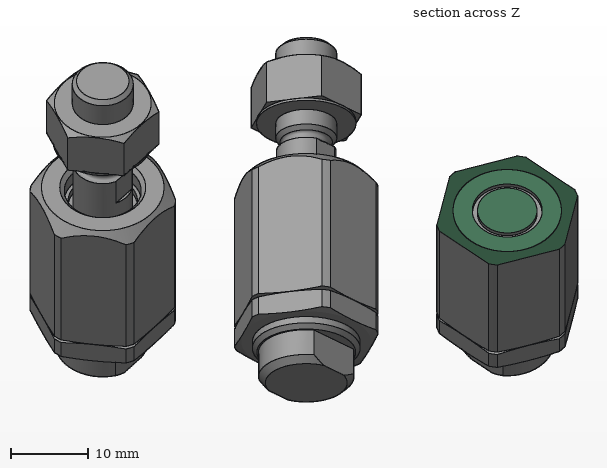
import cadquery as cq
import math


HEX_WIDTH = 17.0
HEX_TURNED_DIA = 19.0
HEX_EDGE_DIA = 16.8
HEX_EDGE_DROP = 0.25
PLUG_THREAD_DIA = 14.0
PLUG_THREAD_CHAMFER = 0.6
PLUG_HEAD_DIA = 12.4
PLUG_HEAD_CHAMFER = 0.9
PLUG_HEAD_WIDTH = 10.0
STUD_THREAD_DIA = 7.95
STUD_TIP_DIA = 6.8
SHAFT_DIA = 7.8
SHAFT_WIDTH = 7.0
NECK_DIA = 6.2
NECK_SHOULDER_FILLET = 0.45
NECK_RUNOUT_FILLET = 0.5
NUT_WIDTH = 12.8
NUT_TOP_DIA = 12.6
NUT_WASHER_DIA = 12.95
NUT_CORNER_DROP = 0.6
HOUSING_TOP_DIA = 15.92
MOUTH_DIA = 10.0
MOUTH_CHAMFER = 0.6
RING_BORE_DIA = 9.0
RING_THICKNESS = 1.0
SEAT_THICKNESS = 1.95

PLUG_HEAD_TOP = 4.5
LOCK_NUT_BOTTOM = 6.05
HOUSING_BOTTOM = 9.05
HOUSING_TOP = 29.5
RING_TOP = 27.0
SHAFT_FLAT_BOTTOM = 30.1
SHAFT_TOP = 34.05
STUD_THREAD_BOTTOM = 35.95
NUT_BOTTOM = 38.1
NUT_HEX_BOTTOM = 38.45
NUT_TOP = 45.0
STUD_TOP = 49.0

RING_BOTTOM = RING_TOP - RING_THICKNESS
SEAT_BOTTOM = RING_BOTTOM - SEAT_THICKNESS
HEX_EDGE_RADIUS = HEX_EDGE_DIA / 2
HEX_TURNED_RADIUS = HEX_TURNED_DIA / 2


def revolve(outline):
    """Turn a closed (radius, height) outline around the vertical axis."""
    return outline.close().revolve(360, (0, 0, 0), (0, 1, 0))


def turned(points):
    """Solid of revolution from (radius, height) points, closed along the axis."""
    bottom = points[0][1]
    top = points[-1][1]
    return revolve(cq.Workplane("XZ").polyline([(0, bottom), *points, (0, top)]))


def cylinder(diameter, bottom, top):
    """Upright cylinder between two heights."""
    return cq.Workplane("XY").workplane(offset=bottom).circle(diameter / 2).extrude(top - bottom)


def hexagon(width, bottom, top):
    """Hexagonal prism with flats facing +X and -X."""
    corner_dia = width / math.cos(math.radians(30))
    prism = cq.Workplane("XY").workplane(offset=bottom).polygon(6, corner_dia).extrude(top - bottom)
    return prism.rotate((0, 0, 0), (0, 0, 1), 30)


def cut_flats(body, width, dia, bottom, top):
    """Mill two flats facing +X and -X into a round of the given diameter, between two heights."""
    slab = cq.Workplane("XY").workplane(offset=bottom).rect(width, 2 * dia).extrude(top - bottom)
    waste = cylinder(2 * dia, bottom, top).cut(slab)
    return body.cut(waste)


def arc_point(center_radius, center_height, radius, angle):
    """Point (radius, height) on an arc, with the angle in degrees from the outward direction."""
    turn = math.radians(angle)
    return (center_radius + radius * math.cos(turn), center_height + radius * math.sin(turn))


def make_stud():
    """Threaded stud with an undercut neck and a shaft with two wrench flats."""
    thread_radius = STUD_THREAD_DIA / 2
    tip_radius = STUD_TIP_DIA / 2
    tip_chamfer = thread_radius - tip_radius
    neck_radius = NECK_DIA / 2
    shoulder_radius = neck_radius + NECK_SHOULDER_FILLET
    neck_bottom = SHAFT_TOP + NECK_SHOULDER_FILLET
    shoulder_middle = arc_point(shoulder_radius, neck_bottom, NECK_SHOULDER_FILLET, 225)
    runout_end = STUD_THREAD_BOTTOM - tip_chamfer
    runout_center = neck_radius + NECK_RUNOUT_FILLET
    runout_angle = math.degrees(math.acos((runout_center - tip_radius) / NECK_RUNOUT_FILLET))
    neck_top = runout_end - NECK_RUNOUT_FILLET * math.sin(math.radians(runout_angle))
    runout_middle = arc_point(runout_center, neck_top, NECK_RUNOUT_FILLET, 180 - runout_angle / 2)
    outline = (
        cq.Workplane("XZ")
        .moveTo(0, SEAT_BOTTOM)
        .lineTo(SHAFT_DIA / 2, SEAT_BOTTOM)
        .lineTo(SHAFT_DIA / 2, SHAFT_TOP)
        .lineTo(shoulder_radius, SHAFT_TOP)
        .threePointArc(shoulder_middle, (neck_radius, neck_bottom))
        .lineTo(neck_radius, neck_top)
        .threePointArc(runout_middle, (tip_radius, runout_end))
        .lineTo(thread_radius, STUD_THREAD_BOTTOM)
        .lineTo(thread_radius, STUD_TOP - tip_chamfer)
        .lineTo(tip_radius, STUD_TOP)
        .lineTo(0, STUD_TOP)
    )
    return cut_flats(revolve(outline), SHAFT_WIDTH, SHAFT_DIA, SHAFT_FLAT_BOTTOM, SHAFT_TOP)


def make_nut():
    """Hexagon nut with a round washer face underneath."""
    corner_radius = NUT_WIDTH / 2 / math.cos(math.radians(30))
    blank = turned([
        (corner_radius, NUT_HEX_BOTTOM),
        (corner_radius, NUT_TOP - NUT_CORNER_DROP),
        (NUT_TOP_DIA / 2, NUT_TOP),
    ])
    body = blank.intersect(hexagon(NUT_WIDTH, NUT_HEX_BOTTOM, NUT_TOP))
    body = body.union(cylinder(NUT_WASHER_DIA, NUT_BOTTOM, NUT_HEX_BOTTOM))
    return body.cut(cylinder(STUD_THREAD_DIA, NUT_BOTTOM, NUT_TOP))


def make_housing():
    """Hexagonal housing, bored from below, with a chamfered mouth for the stud."""
    top_radius = HOUSING_TOP_DIA / 2
    top_chamfer = HEX_TURNED_RADIUS - top_radius
    blank = turned([
        (HEX_EDGE_RADIUS, HOUSING_BOTTOM),
        (HEX_TURNED_RADIUS, HOUSING_BOTTOM + HEX_EDGE_DROP),
        (HEX_TURNED_RADIUS, HOUSING_TOP - top_chamfer),
        (top_radius, HOUSING_TOP),
    ])
    body = blank.intersect(hexagon(HEX_WIDTH, HOUSING_BOTTOM, HOUSING_TOP))
    mouth = turned([
        (MOUTH_DIA / 2, RING_TOP),
        (MOUTH_DIA / 2, HOUSING_TOP - MOUTH_CHAMFER),
        (MOUTH_DIA / 2 + MOUTH_CHAMFER, HOUSING_TOP),
    ])
    return body.cut(cylinder(PLUG_THREAD_DIA, HOUSING_BOTTOM, RING_TOP)).cut(mouth)


def make_ring():
    """Ring under the lip of the housing, with clearance around the stud."""
    body = cylinder(PLUG_THREAD_DIA, RING_BOTTOM, RING_TOP)
    return body.cut(cylinder(RING_BORE_DIA, RING_BOTTOM, RING_TOP))


def make_seat():
    """Disc below the ring that carries the lower end of the stud."""
    body = cylinder(PLUG_THREAD_DIA, SEAT_BOTTOM, RING_BOTTOM)
    return body.cut(cylinder(SHAFT_DIA, SEAT_BOTTOM, RING_BOTTOM))


def make_lock_nut():
    """Hexagonal lock nut between the housing and the plug head."""
    blank = turned([
        (HEX_EDGE_RADIUS, LOCK_NUT_BOTTOM),
        (HEX_TURNED_RADIUS, LOCK_NUT_BOTTOM + HEX_EDGE_DROP),
        (HEX_TURNED_RADIUS, HOUSING_BOTTOM - HEX_EDGE_DROP),
        (HEX_EDGE_RADIUS, HOUSING_BOTTOM),
    ])
    body = blank.intersect(hexagon(HEX_WIDTH, LOCK_NUT_BOTTOM, HOUSING_BOTTOM))
    return body.cut(cylinder(PLUG_THREAD_DIA, LOCK_NUT_BOTTOM, HOUSING_BOTTOM))


def make_plug():
    """Threaded plug that closes the housing, with a flatted head at the bottom."""
    head_radius = PLUG_HEAD_DIA / 2
    thread_radius = PLUG_THREAD_DIA / 2
    body = turned([
        (head_radius - PLUG_HEAD_CHAMFER, 0),
        (head_radius, PLUG_HEAD_CHAMFER),
        (head_radius, PLUG_HEAD_TOP),
        (thread_radius - PLUG_THREAD_CHAMFER, PLUG_HEAD_TOP),
        (thread_radius, PLUG_HEAD_TOP + PLUG_THREAD_CHAMFER),
        (thread_radius, SEAT_BOTTOM),
    ])
    return cut_flats(body, PLUG_HEAD_WIDTH, PLUG_HEAD_DIA, 0, PLUG_HEAD_TOP)


stud = make_stud()
nut = make_nut()
housing = make_housing()
ring = make_ring()
seat = make_seat()
lock_nut = make_lock_nut()
plug = make_plug()

result = cq.Compound.makeCompound([
    stud.val(),
    nut.val(),
    housing.val(),
    ring.val(),
    seat.val(),
    lock_nut.val(),
    plug.val(),
])